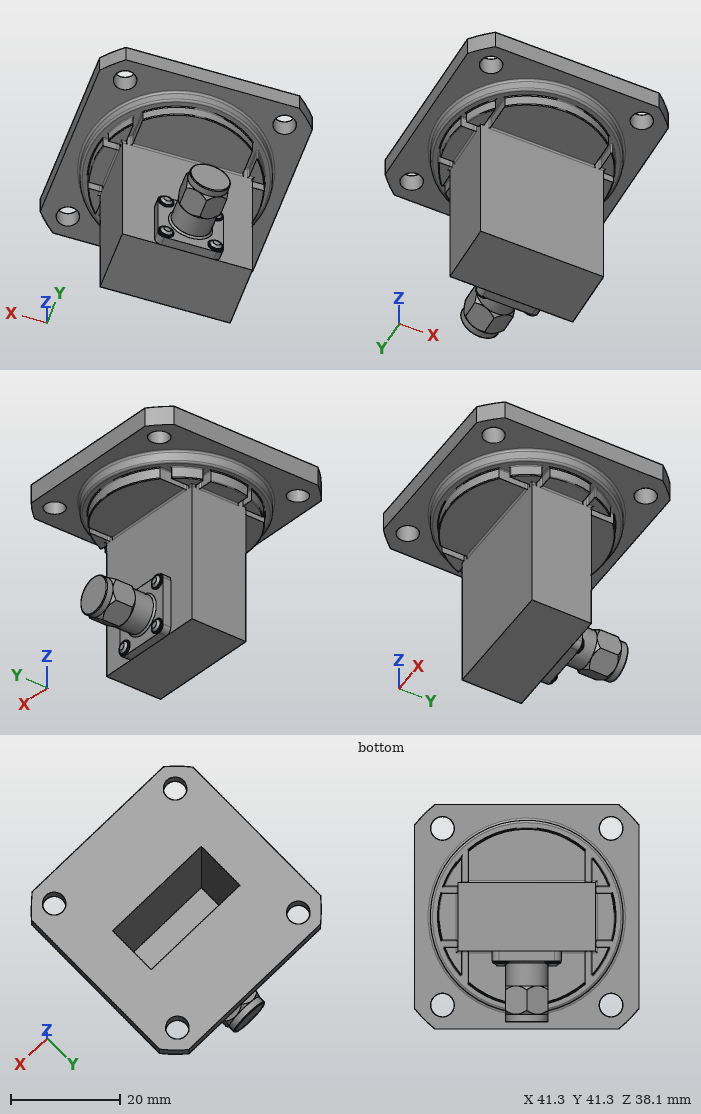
import cadquery as cq
import math


flange_side = 41.25
total_height = 38.1
flange_thickness = 3.95
flange_edge_half_length = 16.85
flange_corner_radius = math.hypot(flange_side / 2, flange_edge_half_length)
bolt_hole_diameter = 4.3
bolt_pitch_x = 30.95
bolt_pitch_y = 32.45
flange_bottom = total_height - flange_thickness

boss_radius = 17.7
boss_height = 2.55
boss_fillet = 0.4
boss_bottom = flange_bottom - boss_height

tube_width = 25.25
tube_depth = 12.63
cavity_width = 22.7
cavity_depth = 10.15
floor_thickness = (tube_depth - cavity_depth) / 2

ring_radius = 16.2
ring_height = 2.45
ring_edge_fillet = 0.15
ring_root_fillet = 0.15
ring_foot_fillet = 0.35
ring_bottom = boss_bottom - ring_height
long_pad_half_width = 10.65
short_pad_half_width = 4.3
slot_width = 1.32

plate_side = 12.7
plate_thickness = 1.77
plate_corner_radius = 1.3
connector_z = plate_side / 2
barrel_radius = 3.92
barrel_foot = 0.37
hex_start = 6.35
hex_end = 11.6
hex_sides = 6
hex_turn = 180 / hex_sides
hex_corner_radius = 4.55
hex_chamfer_length = 0.75
connector_length = 13.05
tip_chamfer = 0.15

screw_offset = 4.8
head_radius = 1.5
head_rim_height = 0.45
head_rim_chamfer = 0.12
crown_base_radius = 1.2
crown_top_radius = 0.7
crown_height = 0.45

tolerance = 0.005


def make_flange():
    """Square plate with its corners turned to a large radius."""
    square = cq.Workplane("XY").workplane(offset=flange_bottom).rect(flange_side, flange_side)
    corner_round = cq.Workplane("XY").workplane(offset=flange_bottom).circle(flange_corner_radius)
    return square.extrude(flange_thickness).intersect(corner_round.extrude(flange_thickness))


def make_boss():
    """Turned boss that flares into the flange and has a rounded lower rim."""
    arc_mid = boss_fillet * (1 - math.sqrt(0.5))
    profile = (
        cq.Workplane("XZ")
        .moveTo(0, boss_bottom)
        .lineTo(boss_radius - boss_fillet, boss_bottom)
        .threePointArc((boss_radius - arc_mid, boss_bottom + arc_mid), (boss_radius, boss_bottom + boss_fillet))
        .lineTo(boss_radius, flange_bottom - boss_fillet)
        .threePointArc((boss_radius + arc_mid, flange_bottom - arc_mid), (boss_radius + boss_fillet, flange_bottom))
        .lineTo(0, flange_bottom)
        .close()
    )
    return profile.revolve(360, (0, 0, 0), (0, 1, 0))


def make_tube():
    return cq.Workplane("XY").box(tube_width, tube_depth, flange_bottom, centered=(True, True, False))


def box_between(x_start, x_end, y_start, y_end, z_start, z_end):
    box = cq.Workplane("XY").box(x_end - x_start, y_end - y_start, z_end - z_start, centered=False)
    return box.translate((x_start, y_start, z_start))


def ring_disc():
    return cq.Workplane("XY").workplane(offset=ring_bottom).circle(ring_radius).extrude(ring_height)


def make_slots():
    """The two slots beside one corner block, in the (+X, +Y) quadrant."""
    wide_face_slot = box_between(
        long_pad_half_width, long_pad_half_width + slot_width,
        tube_depth / 2, ring_radius, ring_bottom, boss_bottom,
    )
    narrow_face_slot = box_between(
        tube_width / 2, ring_radius,
        short_pad_half_width, short_pad_half_width + slot_width, ring_bottom, boss_bottom,
    )
    return wide_face_slot.union(narrow_face_slot)


def is_block_edge(edge):
    """True for the outer upright edges of the corner blocks, except the sharp (-X, -Y) block."""
    center = edge.Center()
    on_rim = abs(math.hypot(center.x, center.y) - ring_radius) < tolerance
    past_long_pad = abs(center.x) > long_pad_half_width + tolerance
    past_short_pad = abs(center.y) > short_pad_half_width + tolerance
    sharp_block = center.x < 0 and center.y < 0
    return on_rim and past_long_pad and past_short_pad and not sharp_block


def make_ring():
    """Ring cut into four face pads and four corner blocks by slots that reach the tube faces."""
    slots = make_slots()
    slots = slots.union(slots.mirror("YZ"))
    slots = slots.union(slots.mirror("XZ"))
    ring = ring_disc().cut(slots)
    block_edges = [edge for edge in ring.edges("|Z").vals() if is_block_edge(edge)]
    ring = ring.newObject(block_edges).fillet(ring_edge_fillet)
    rounded_disc = ring_disc().faces("<Z").edges().fillet(ring_edge_fillet)
    return ring.intersect(rounded_disc)


def is_foot_edge(edge):
    """True where a pad or corner block meets a tube face, except at the plain (-X, -Y) corner."""
    center = edge.Center()
    box = edge.BoundingBox()
    on_wide_face = box.ylen < tolerance and abs(abs(center.y) - tube_depth / 2) < tolerance
    on_narrow_face = box.xlen < tolerance and abs(abs(center.x) - tube_width / 2) < tolerance
    under_ring = box.zlen < tolerance and abs(center.z - ring_bottom) < tolerance
    on_slot_wall = abs(box.zlen - ring_height) < tolerance
    past_long_pad = center.x < -long_pad_half_width - tolerance
    past_short_pad = center.y < -short_pad_half_width - tolerance
    at_plain_corner = past_long_pad and past_short_pad
    return (on_wide_face or on_narrow_face) and (under_ring or on_slot_wall) and not at_plain_corner


def is_root_edge(edge):
    """True where the ring and the tube meet the underside of the boss."""
    box = edge.BoundingBox()
    under_boss = box.zlen < tolerance and abs(edge.Center().z - boss_bottom) < tolerance
    boss_rim = box.xlen > 2 * ring_radius
    return under_boss and not boss_rim


def make_cavity():
    cavity_height = total_height - floor_thickness
    cavity = cq.Workplane("XY").box(cavity_width, cavity_depth, cavity_height, centered=(True, True, False))
    return cavity.translate((0, 0, floor_thickness))


def make_housing():
    """Tube, ring, boss and flange in one piece, with the waveguide cavity and bolt holes."""
    tube_and_ring = make_tube().union(make_ring())
    foot_edges = [edge for edge in tube_and_ring.edges().vals() if is_foot_edge(edge)]
    tube_and_ring = tube_and_ring.newObject(foot_edges).fillet(ring_foot_fillet)
    body = tube_and_ring.union(make_boss())
    root_edges = [edge for edge in body.edges().vals() if is_root_edge(edge)]
    body = body.newObject(root_edges).fillet(ring_root_fillet)
    body = body.union(make_flange()).cut(make_cavity())
    bolt_holes = (
        cq.Workplane("XY")
        .workplane(offset=flange_bottom)
        .rect(bolt_pitch_x, bolt_pitch_y, forConstruction=True)
        .vertices()
        .circle(bolt_hole_diameter / 2)
        .extrude(flange_thickness)
    )
    return body.cut(bolt_holes)


def turned_on_connector_axis(profile_points):
    """Solid of revolution about the connector axis from (radius, distance from the tube) points."""
    turned = cq.Workplane("XY").polyline(profile_points).close().revolve(360, (0, 0, 0), (0, 1, 0))
    return turned.translate((0, tube_depth / 2, connector_z))


def connector_plane(distance):
    """Plane facing +Y on the connector axis, at a distance from the tube face."""
    return cq.Workplane(cq.Plane((0, tube_depth / 2 + distance, connector_z), (1, 0, 0), (0, 1, 0)))


def make_connector():
    """Square plate, round barrel and hexagonal nut with chamfered ends."""
    plate = connector_plane(0).rect(plate_side, plate_side).extrude(plate_thickness)
    plate = plate.edges("|Y").fillet(plate_corner_radius)
    barrel = turned_on_connector_axis([
        (0, plate_thickness),
        (barrel_radius + barrel_foot, plate_thickness),
        (barrel_radius, plate_thickness + barrel_foot),
        (barrel_radius, connector_length - tip_chamfer),
        (barrel_radius - tip_chamfer, connector_length),
        (0, connector_length),
    ])
    hex_prism = connector_plane(hex_start).polygon(hex_sides, 2 * hex_corner_radius).extrude(hex_end - hex_start)
    hex_prism = hex_prism.rotate((0, 0, connector_z), (0, 1, connector_z), hex_turn)
    hex_envelope = turned_on_connector_axis([
        (0, hex_start),
        (barrel_radius, hex_start),
        (hex_corner_radius, hex_start + hex_chamfer_length),
        (hex_corner_radius, hex_end - hex_chamfer_length),
        (barrel_radius, hex_end),
        (0, hex_end),
    ])
    return plate.union(barrel).union(hex_prism.intersect(hex_envelope))


def make_screw_head(x_offset, z_offset):
    """Round rim with a tapered crown, seated on the connector plate."""
    rim_top = plate_thickness + head_rim_height
    crown_top = rim_top + crown_height
    head = turned_on_connector_axis([
        (0, plate_thickness),
        (head_radius - head_rim_chamfer, plate_thickness),
        (head_radius, plate_thickness + head_rim_chamfer),
        (head_radius, rim_top - head_rim_chamfer),
        (head_radius - head_rim_chamfer, rim_top),
        (crown_base_radius, rim_top),
        (crown_top_radius, crown_top),
        (0, crown_top),
    ])
    return head.translate((x_offset, 0, z_offset))


housing = make_housing()
connector = make_connector()
screw_heads = [
    make_screw_head(side_x * screw_offset, side_z * screw_offset)
    for side_x in (1, -1)
    for side_z in (1, -1)
]

result = cq.Compound.makeCompound([
    housing.val(),
    connector.val(),
    *[head.val() for head in screw_heads],
])